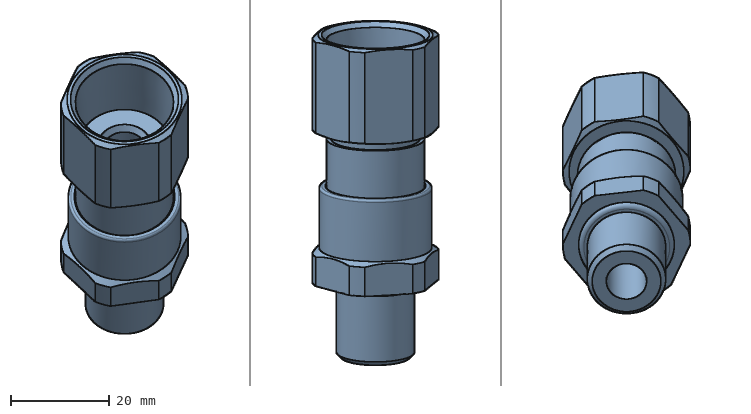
import cadquery as cq
import math

HEX_FLATS = 24.0
HEX_BAR_RADIUS = 13.0

TOTAL_HEIGHT = 67.75
SEAL_BOTTOM_Z = 15.0
SEAL_HEIGHT = 1.0
FLANGE_HEIGHT = 7.0
SLEEVE_HEIGHT = 13.0
HEAD_HEIGHT = 20.0
NECK_HEIGHT = 1.85

FLANGE_BOTTOM_Z = SEAL_BOTTOM_Z + SEAL_HEIGHT
FLANGE_TOP_Z = FLANGE_BOTTOM_Z + FLANGE_HEIGHT
SLEEVE_TOP_Z = FLANGE_TOP_Z + SLEEVE_HEIGHT
HEAD_BOTTOM_Z = TOTAL_HEIGHT - HEAD_HEIGHT
NECK_BOTTOM_Z = HEAD_BOTTOM_Z - NECK_HEIGHT

STEM_RADIUS = 8.0
STEM_CHAMFER = 1.0
SLEEVE_RADIUS = 11.5
SLEEVE_FILLET = 0.5
SOCKET_MOUTH_CHAMFER = 0.25
OUTLET_PASSAGE_RADIUS = 4.1
FLANGE_CHAMFER_RISE = 0.85

BARREL_RADIUS = 10.0
NECK_RADIUS = 9.1
BARREL_DEPTH_IN_SOCKET = 10.0
HEAD_FACE_RADIUS = 11.7
HEAD_CHAMFER_RISE = 0.45
BORE_RADIUS = 10.0
BORE_MOUTH_RADIUS = 11.0
BORE_DEPTH = 15.0
BORE_FLOOR_RADIUS = 9.3
INLET_PASSAGE_RADIUS = 4.3
PASSAGE_MOUTH_RADIUS = 5.4

SEAL_RADIUS = 9.75

BARREL_BOTTOM_Z = SLEEVE_TOP_Z - BARREL_DEPTH_IN_SOCKET


def revolve(profile):
    """Turn (radius, z) points about the Z axis."""
    return cq.Workplane("XZ").polyline(profile).close().revolve(360, (0, 0, 0), (0, 1, 0))


def cylinder(radius, bottom_z, top_z):
    return cq.Workplane("XY").workplane(offset=bottom_z).circle(radius).extrude(top_z - bottom_z)


def hexagon(turned_bar, bottom_z, top_z):
    """Cut six flats, two of them facing +X and -X, on a turned bar."""
    corner_diameter = HEX_FLATS / math.cos(math.pi / 6)
    prism = (
        cq.Workplane("XY", origin=(0, 0, bottom_z))
        .transformed(rotate=(0, 0, 30))
        .polygon(6, corner_diameter)
        .extrude(top_z - bottom_z)
    )
    return turned_bar.intersect(prism)


def make_outlet():
    stem = cylinder(STEM_RADIUS, 0, FLANGE_BOTTOM_Z).faces("<Z").chamfer(STEM_CHAMFER)
    flange_bar = revolve([
        (0, FLANGE_BOTTOM_Z),
        (HEX_BAR_RADIUS, FLANGE_BOTTOM_Z),
        (HEX_BAR_RADIUS, FLANGE_TOP_Z - FLANGE_CHAMFER_RISE),
        (SLEEVE_RADIUS, FLANGE_TOP_Z),
        (0, FLANGE_TOP_Z),
    ])
    flange = hexagon(flange_bar, FLANGE_BOTTOM_Z, FLANGE_TOP_Z)
    sleeve = cylinder(SLEEVE_RADIUS, FLANGE_TOP_Z, SLEEVE_TOP_Z).faces(">Z").edges().fillet(SLEEVE_FILLET)
    socket = revolve([
        (0, BARREL_BOTTOM_Z),
        (BARREL_RADIUS, BARREL_BOTTOM_Z),
        (BARREL_RADIUS, SLEEVE_TOP_Z - SOCKET_MOUTH_CHAMFER),
        (BARREL_RADIUS + SOCKET_MOUTH_CHAMFER, SLEEVE_TOP_Z),
        (0, SLEEVE_TOP_Z),
    ])
    passage = cylinder(OUTLET_PASSAGE_RADIUS, 0, BARREL_BOTTOM_Z)
    return stem.union(flange).union(sleeve).cut(socket).cut(passage)


def make_inlet():
    barrel = cylinder(BARREL_RADIUS, BARREL_BOTTOM_Z, NECK_BOTTOM_Z)
    neck = cylinder(NECK_RADIUS, NECK_BOTTOM_Z, HEAD_BOTTOM_Z)
    head_bar = revolve([
        (0, HEAD_BOTTOM_Z),
        (HEAD_FACE_RADIUS, HEAD_BOTTOM_Z),
        (HEX_BAR_RADIUS, HEAD_BOTTOM_Z + HEAD_CHAMFER_RISE),
        (HEX_BAR_RADIUS, TOTAL_HEIGHT - HEAD_CHAMFER_RISE),
        (HEAD_FACE_RADIUS, TOTAL_HEIGHT),
        (0, TOTAL_HEIGHT),
    ])
    head = hexagon(head_bar, HEAD_BOTTOM_Z, TOTAL_HEIGHT)

    bore_floor_z = TOTAL_HEIGHT - BORE_DEPTH
    bore = revolve([
        (0, bore_floor_z),
        (BORE_FLOOR_RADIUS, bore_floor_z),
        (BORE_RADIUS, TOTAL_HEIGHT - (BORE_MOUTH_RADIUS - BORE_RADIUS)),
        (BORE_MOUTH_RADIUS, TOTAL_HEIGHT),
        (0, TOTAL_HEIGHT),
    ])
    passage = revolve([
        (0, BARREL_BOTTOM_Z),
        (INLET_PASSAGE_RADIUS, BARREL_BOTTOM_Z),
        (INLET_PASSAGE_RADIUS, bore_floor_z - (PASSAGE_MOUTH_RADIUS - INLET_PASSAGE_RADIUS)),
        (PASSAGE_MOUTH_RADIUS, bore_floor_z),
        (0, bore_floor_z),
    ])
    return barrel.union(neck).union(head).cut(bore).cut(passage)


def make_seal_ring():
    """Ring under the flange whose outer side is a quarter round over its full height."""
    round_middle = (
        SEAL_RADIUS - SEAL_HEIGHT * (1 - math.cos(math.pi / 4)),
        FLANGE_BOTTOM_Z - SEAL_HEIGHT * math.sin(math.pi / 4),
    )
    return (
        cq.Workplane("XZ")
        .moveTo(STEM_RADIUS, FLANGE_BOTTOM_Z)
        .lineTo(SEAL_RADIUS, FLANGE_BOTTOM_Z)
        .threePointArc(round_middle, (SEAL_RADIUS - SEAL_HEIGHT, SEAL_BOTTOM_Z))
        .lineTo(STEM_RADIUS, SEAL_BOTTOM_Z)
        .close()
        .revolve(360, (0, 0, 0), (0, 1, 0))
    )


outlet = make_outlet()
inlet = make_inlet()
seal_ring = make_seal_ring()

result = cq.Compound.makeCompound([outlet.val(), inlet.val(), seal_ring.val()])